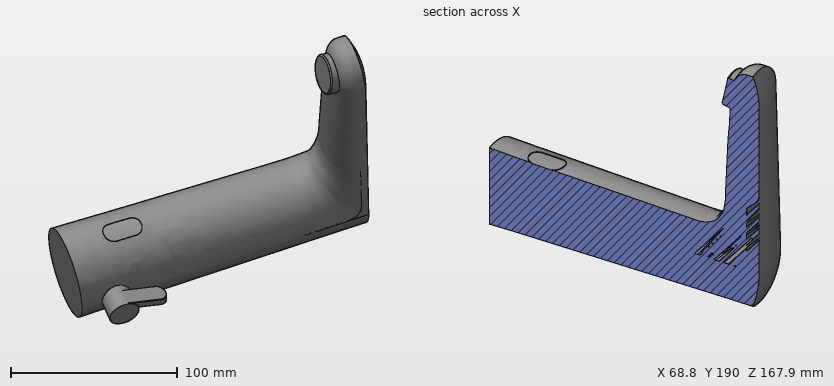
import math
import cadquery as cq

body_end_radius = 28.0
body_back_radius = 25.4
back_face_y = 185.3
crown_back_y = 190.0
body_top_height_end = 28.0
body_top_height_mid = 26.0
body_top_height_bend = 24.8
body_mid_y = 85.0
bend_start_y = 144.4

arm_base_y = 180.8
top_z = 139.93
head_radius = 19.9
head_z = top_z - head_radius
bend_end_z = 43.6
arm_depths = [
    (bend_end_z, 15.9),
    (52.6, 15.6),
    (86.4, 14.1),
    (head_z, 11.8),
]

outer_bend_radius = 9.2
corner_inset = outer_bend_radius * (1 - math.sqrt(0.5))
bend_steps = 8
corner_overlap = 0.1

outlet_radius = 12.25
outlet_chamfer = 0.9
outlet_length = 8.0
outlet_tilt = 12.0
outlet_face_y = 165.4
outlet_face_z = 122.5

window_length = 24.0
window_width = 13.2
window_corner_radius = 5.8
window_center_y = 36.7
window_depth = 0.4

knob_radius = 9.4
knob_y = 22.3
knob_end_x = 40.81
lever_inner_x = 29.9
lever_outer_x = 40.4
lever_tip_y = 51.2
lever_slope = 17.7
lever_thickness = 5.0
lever_edge_chamfer = 0.4


def body_radius(y):
    """Radius of the tapered body at a distance y from its end."""
    return body_end_radius + (body_back_radius - body_end_radius) * y / back_face_y


def arm_half_width(z):
    """Half width of the arm at height z."""
    return body_back_radius + (head_radius - body_back_radius) * z / head_z


def half_ellipse(base, tip, half_width):
    """Half-elliptic wire standing on the (y, z) point base and reaching the point tip."""
    rise_y = tip[0] - base[0]
    rise_z = tip[1] - base[1]
    plane = cq.Plane(origin=(0, base[0], base[1]), xDir=(1, 0, 0), normal=(0, -rise_z, rise_y))
    height = math.hypot(rise_y, rise_z)
    section = cq.Workplane(plane).ellipseArc(half_width, height, 0, 180, startAtCurrent=False)
    return section.close().val()


def loft(wires, ruled):
    """Solid through the wires, straight between them if ruled and smooth otherwise."""
    return cq.Workplane(cq.Solid.makeLoft(wires, ruled))


def lower_body():
    """Lower half of the tapered column."""
    profile = [(0, 0), (body_end_radius, 0), (body_back_radius, back_face_y), (0, back_face_y)]
    return cq.Workplane("XY").polyline(profile).close().revolve(180, (0, 0, 0), (0, 1, 0))


def upper_body(inset=0.0):
    """Rounded top of the column up to the bend, optionally shrunk by inset."""
    stations = [
        (0, body_top_height_end),
        (body_mid_y, body_top_height_mid),
        (bend_start_y, body_top_height_bend),
    ]
    wires = [half_ellipse((y, 0), (y, top - inset), body_radius(y) - inset) for y, top in stations]
    return loft(wires, True)


def bend_section(base, half_width):
    """Section of the bend from a point of its outer line straight to its inner curve."""
    run_y = base[0] - bend_start_y
    run_z = bend_end_z - base[1]
    length = math.hypot(run_y, run_z)
    inner_radius_y = arm_base_y - arm_depths[0][1] - bend_start_y
    inner_radius_z = bend_end_z - body_top_height_bend
    tip = (bend_start_y + inner_radius_y * run_y / length, bend_end_z - inner_radius_z * run_z / length)
    return half_ellipse(base, tip, half_width)


def bend():
    """Rounded surface that turns from the body top to the arm front."""
    def body_section(y):
        return bend_section((y, 0), body_radius(y))

    def arm_section(y, z):
        return bend_section((y, z), arm_half_width(z))

    corner_y = arm_base_y - outer_bend_radius
    corner_z = outer_bend_radius
    steps = range(bend_steps)
    along_body = [
        body_section(bend_start_y + (corner_y - bend_start_y) * step / bend_steps) for step in steps
    ]
    along_arm = [
        arm_section(arm_base_y, bend_end_z + (corner_z - bend_end_z) * step / bend_steps) for step in steps
    ]
    corner = [
        body_section(corner_y),
        arm_section(arm_base_y - corner_inset, corner_inset),
        arm_section(arm_base_y, corner_z),
    ]
    return loft(along_body + corner + along_arm[::-1], False)


def arm_prism(front_y):
    """Tapered flat-sided arm with a round top, from the back face forward to front_y."""
    return (
        cq.Workplane("XZ", origin=(0, back_face_y, 0))
        .moveTo(-body_back_radius, 0)
        .lineTo(body_back_radius, 0)
        .lineTo(head_radius, head_z)
        .threePointArc((0, head_z + head_radius), (-head_radius, head_z))
        .close()
        .extrude(back_face_y - front_y)
    )


def bend_corner():
    """Flat-sided filling in the outer corner of the bend."""
    start = arm_base_y - outer_bend_radius
    inset = corner_inset + corner_overlap
    corner = (
        cq.Workplane("YZ")
        .moveTo(start, 0)
        .lineTo(arm_base_y, 0)
        .lineTo(arm_base_y, outer_bend_radius)
        .threePointArc((arm_base_y - inset, inset), (start, 0))
        .close()
        .extrude(body_end_radius, both=True)
    )
    return corner.intersect(arm_prism(bend_start_y))


def arm_front():
    """Rounded front of the arm from the bend to the head."""
    wires = [
        half_ellipse((arm_base_y, z), (arm_base_y - depth, z), arm_half_width(z))
        for z, depth in arm_depths
    ]
    return loft(wires, True)


def head():
    """Quarter of an ellipsoid closing the rounded front at the top of the arm."""
    depth = arm_depths[-1][1]
    profile = (
        cq.Workplane("XY", origin=(0, arm_base_y, head_z))
        .ellipseArc(head_radius, depth, 270, 360, startAtCurrent=False)
        .lineTo(0, 0)
        .close()
    )
    return profile.revolve(180, (0, 0, 0), (0, -1, 0))


def crown():
    """Domed back: an arched strip along the arm with a rounded end at each side."""
    rise = crown_back_y - back_face_y

    def cap(z, radius, axis_direction):
        sphere_radius = (radius ** 2 + rise ** 2) / (2 * rise)
        half_angle = math.asin(radius / sphere_radius) / 2
        middle = (sphere_radius * math.sin(half_angle), rise - sphere_radius * (1 - math.cos(half_angle)))
        return (
            cq.Workplane("XY", origin=(0, back_face_y, z))
            .lineTo(radius, 0)
            .threePointArc(middle, (0, rise))
            .close()
            .revolve(180, (0, 0, 0), (0, axis_direction, 0))
        )

    def arch(z, radius):
        plane = cq.Workplane("XY", origin=(0, back_face_y, z))
        return plane.moveTo(-radius, 0).threePointArc((0, rise), (radius, 0)).close().val()

    strip = loft([arch(0, body_back_radius), arch(head_z, head_radius)], True)
    return strip.union(cap(0, body_back_radius, 1)).union(cap(head_z, head_radius, -1))


def outlet():
    """Tilted round outlet on the head."""
    tilt = math.radians(outlet_tilt)
    plane = cq.Plane(
        origin=(0, outlet_face_y, outlet_face_z),
        xDir=(1, 0, 0),
        normal=(0, -math.cos(tilt), math.sin(tilt)),
    )
    disc = cq.Workplane(plane).circle(outlet_radius).extrude(-outlet_length)
    return disc.faces("<Y").chamfer(outlet_chamfer)


def window_recess():
    """Shallow rounded recess that follows the top of the body."""
    prism = (
        cq.Workplane("XY", origin=(0, window_center_y, 0))
        .rect(window_width, window_length)
        .extrude(body_end_radius)
        .edges("|Z")
        .fillet(window_corner_radius)
    )
    return prism.cut(upper_body(window_depth))


def knob():
    """Round knob whose axis runs along X, starting inside the body."""
    return cq.Workplane("YZ").center(knob_y, 0).circle(knob_radius).extrude(knob_end_x)


def lever():
    """Flat lever whose sloping top runs tangent to the knob, with a rounded tip."""
    slope = math.radians(lever_slope)
    start = (knob_y + knob_radius * math.sin(slope), knob_radius * math.cos(slope))
    tip_z = start[1] - (lever_tip_y - start[0]) * math.tan(slope)
    drop = lever_thickness / math.cos(slope)
    width = lever_outer_x - lever_inner_x
    side = [start, (lever_tip_y, tip_z), (lever_tip_y, tip_z - drop), (start[0], start[1] - drop)]
    bar = cq.Workplane("YZ", origin=(lever_inner_x, 0, 0)).polyline(side).close().extrude(width)
    middle_x = (lever_inner_x + lever_outer_x) / 2
    round_y = lever_tip_y - width / 2
    outline = (
        cq.Workplane("XY", origin=(0, 0, -body_end_radius))
        .moveTo(lever_inner_x, 0)
        .lineTo(lever_outer_x, 0)
        .lineTo(lever_outer_x, round_y)
        .threePointArc((middle_x, lever_tip_y), (lever_inner_x, round_y))
        .close()
        .extrude(2 * body_end_radius)
    )
    blank = bar.intersect(outline)
    top_normal = cq.Vector(0, math.sin(slope), math.cos(slope))
    top_face = blank.faces(cq.selectors.DirectionMinMaxSelector(top_normal))
    return top_face.edges("not <Y").chamfer(lever_edge_chamfer)


result = (
    lower_body()
    .union(upper_body())
    .union(bend())
    .union(arm_prism(arm_base_y))
    .union(bend_corner())
    .union(arm_front())
    .union(head())
    .union(crown())
    .union(outlet())
    .cut(window_recess())
    .union(knob())
    .union(lever())
)